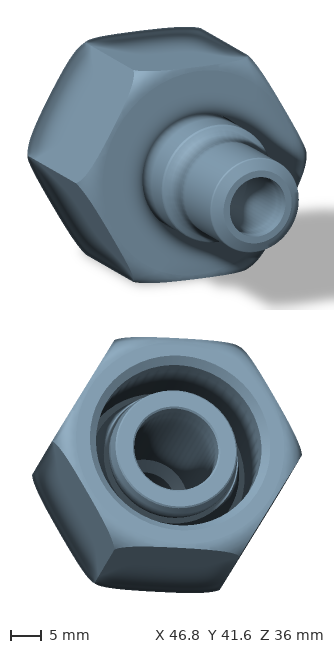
import cadquery as cq
import math


total_length = 46.8

nut_length = 24.0
across_flats = 36.0
corner_clearance = 0.05
end_face_diameter = 34.65
thread_diameter = 27.55
thread_mouth_diameter = 30.0
thread_chamfer_angle = 45.0
thread_depth = 16.85
nut_hole_diameter = 20.23

nipple_front = 3.25
cone_half_angle = 12.0
cone_tip_diameter = 20.23
cone_tip_chamfer = 0.25
collar_diameter = 25.0
shoulder_angle = 45.0
shank_diameter = 19.9
shank_end = 31.3
shank_edge_round = 0.45
neck_radius = 4.0
weld_end_diameter = 16.0
weld_face_diameter = 12.3
weld_bevel_length = 1.1
weld_edge_round = 0.37

front_bore_diameter = 14.0
rear_bore_diameter = 10.05
bore_mouth_chamfer = 0.3
bore_step_angle = 70.0

groove_front_diameter = 21.15
groove_rear_diameter = 22.35
ring_section = 1.95

cone_slope = math.tan(math.radians(cone_half_angle))
shoulder_slope = math.tan(math.radians(shoulder_angle))
hexagon_corner_diameter = across_flats / math.cos(math.radians(30))


def cone_place(diameter):
    """X at which the sealing cone reaches a diameter."""
    return nipple_front + cone_tip_chamfer + (diameter - cone_tip_diameter) / 2 / cone_slope


groove_front = cone_place(groove_front_diameter)
groove_rear = cone_place(groove_rear_diameter)
groove_floor_radius = groove_front_diameter / 2 - ring_section


def revolve_profile(profile):
    """Turn a closed XY outline about the X axis."""
    return profile.close().revolve(360, (0, 0, 0), (1, 0, 0))


def make_rounded_blank():
    """Turned blank with quarter-round ends, which rounds off the hexagon corners."""
    radius = hexagon_corner_diameter / 2 + corner_clearance
    face_radius = end_face_diameter / 2
    end_round = radius - face_radius
    arc_offset = end_round * (1 - math.sqrt(0.5))
    profile = (
        cq.Workplane("XY")
        .lineTo(0, face_radius)
        .threePointArc((arc_offset, radius - arc_offset), (end_round, radius))
        .lineTo(nut_length - end_round, radius)
        .threePointArc((nut_length - arc_offset, radius - arc_offset), (nut_length, face_radius))
        .lineTo(nut_length, 0)
    )
    return revolve_profile(profile)


def make_nut_cavity():
    """Chamfered thread bore, conical seat and clearance hole of the nut."""
    mouth_radius = thread_mouth_diameter / 2
    thread_radius = thread_diameter / 2
    seat_radius = collar_diameter / 2
    hole_radius = nut_hole_diameter / 2
    chamfer_length = (mouth_radius - thread_radius) / math.tan(math.radians(thread_chamfer_angle))
    seat_end = thread_depth + (seat_radius - hole_radius) / shoulder_slope
    profile = (
        cq.Workplane("XY")
        .lineTo(0, mouth_radius)
        .lineTo(chamfer_length, thread_radius)
        .lineTo(thread_depth, thread_radius)
        .lineTo(thread_depth, seat_radius)
        .lineTo(seat_end, hole_radius)
        .lineTo(nut_length, hole_radius)
        .lineTo(nut_length, 0)
    )
    return revolve_profile(profile)


def make_nut():
    hexagon = cq.Workplane("YZ").polygon(6, hexagon_corner_diameter).extrude(nut_length)
    return hexagon.intersect(make_rounded_blank()).cut(make_nut_cavity())


def make_nipple_blank():
    """Solid outer form of the nipple, from sealing cone to bevelled weld end."""
    tip_radius = cone_tip_diameter / 2
    collar_radius = collar_diameter / 2
    shank_radius = shank_diameter / 2
    weld_radius = weld_end_diameter / 2
    shoulder_end = thread_depth + (collar_radius - shank_radius) / shoulder_slope

    neck_drop = shank_radius - weld_radius
    neck_sweep = math.acos(1 - neck_drop / neck_radius)
    neck_end = shank_end + neck_radius * math.sin(neck_sweep)
    neck_middle = (
        neck_end - neck_radius * math.sin(neck_sweep / 2),
        weld_radius + neck_radius * (1 - math.cos(neck_sweep / 2)),
    )
    bevel_start = total_length - weld_bevel_length

    profile = (
        cq.Workplane("XY")
        .moveTo(nipple_front, 0)
        .lineTo(nipple_front, tip_radius - cone_tip_chamfer)
        .lineTo(nipple_front + cone_tip_chamfer, tip_radius)
        .lineTo(cone_place(collar_diameter), collar_radius)
        .lineTo(thread_depth, collar_radius)
        .lineTo(shoulder_end, shank_radius)
        .lineTo(shank_end, shank_radius)
        .threePointArc(neck_middle, (neck_end, weld_radius))
        .lineTo(bevel_start, weld_radius)
        .lineTo(total_length, weld_face_diameter / 2)
        .lineTo(total_length, 0)
    )
    blank = revolve_profile(profile)
    blank = round_edge_at(blank, shank_end, shank_edge_round)
    return round_edge_at(blank, bevel_start, weld_edge_round)


def round_edge_at(body, place, radius):
    """Round the circular edge that lies in the plane X = place."""
    tolerance = 0.005
    box = cq.selectors.BoxSelector(
        (place - tolerance, -across_flats, -across_flats),
        (place + tolerance, across_flats, across_flats),
        boundingbox=True,
    )
    return body.edges(box).fillet(radius)


def make_bore():
    """Front bore with a small mouth chamfer, a conical step and the narrower rear bore."""
    front_radius = front_bore_diameter / 2
    rear_radius = rear_bore_diameter / 2
    step_length = (front_radius - rear_radius) / math.tan(math.radians(bore_step_angle))
    profile = (
        cq.Workplane("XY")
        .moveTo(nipple_front, 0)
        .lineTo(nipple_front, front_radius + bore_mouth_chamfer)
        .lineTo(nipple_front + bore_mouth_chamfer, front_radius)
        .lineTo(shank_end, front_radius)
        .lineTo(shank_end + step_length, rear_radius)
        .lineTo(total_length, rear_radius)
        .lineTo(total_length, 0)
    )
    return revolve_profile(profile)


def make_groove():
    """Square-sided ring groove cut into the sealing cone."""
    profile = (
        cq.Workplane("XY")
        .moveTo(groove_front, groove_floor_radius)
        .lineTo(groove_front, groove_front_diameter / 2)
        .lineTo(groove_rear, groove_rear_diameter / 2)
        .lineTo(groove_rear, groove_floor_radius)
    )
    return revolve_profile(profile)


def make_nipple():
    return make_nipple_blank().cut(make_groove()).cut(make_bore())


def make_o_ring():
    """Ring resting on the groove floor, midway between the groove walls."""
    ring_middle = (groove_front + groove_rear) / 2
    section = cq.Workplane("XY").moveTo(ring_middle, groove_floor_radius + ring_section / 2)
    return section.circle(ring_section / 2).revolve(360, (0, 0, 0), (1, 0, 0))


nut = make_nut()
nipple = make_nipple()
o_ring = make_o_ring()

result = cq.Compound.makeCompound([nut.val(), nipple.val(), o_ring.val()])